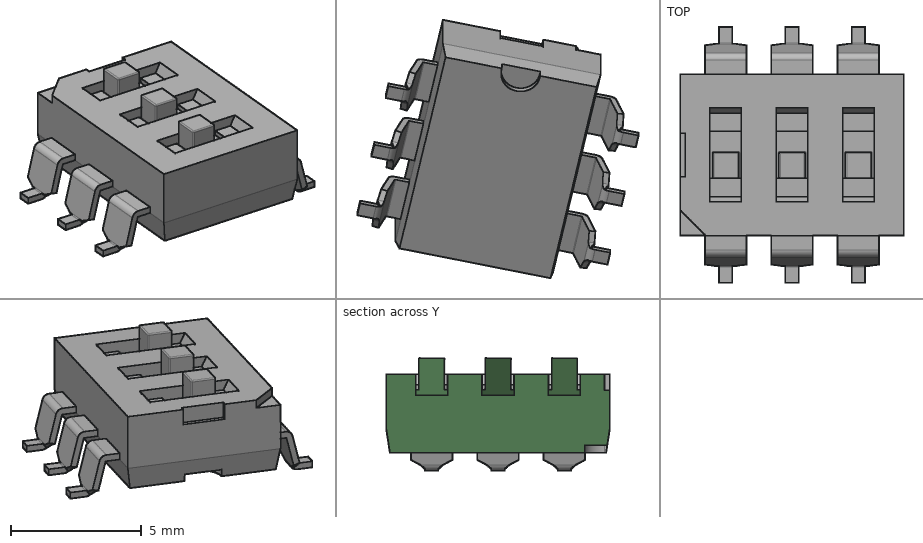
import cadquery as cq
import math


LENGTH_OVER_LEADS = 9.8
POSITIONS = 3
PITCH = 2.54

BODY_LENGTH = 8.56
BODY_WIDTH = 6.18
BODY_BOTTOM = 0.69
BODY_TOP = 3.7
BASE_INSET = 0.14

SLOT_WIDTH = 1.21
SLOT_LENGTH = 3.6
RAMP_RUN = 0.21
LEDGE_DEPTH = 0.4
PIT_LENGTH = 1.79
PIT_DEPTH = 0.6

CORNER_LEG = 0.98
CORNER_DEPTH = 0.32
SIDE_NOTCH_LENGTH = 1.68
SIDE_NOTCH_INSET = 0.2
SIDE_NOTCH_DEPTH = 0.62
BASE_RECESS_DIAMETER = 1.5
BASE_RECESS_DEPTH = 0.29
BASE_RECESS_CENTRE_INSET = 0.21

SLIDER_SIZE = 1.0
SLIDER_TOP = 4.32
SLIDER_FILLET = 0.05
SLIDER_ROOT_FILLET = 0.04
PLATE_THICKNESS = 0.2

LEAD_THICKNESS = 0.25
LEAD_WIDTH = 1.6
FOOT_WIDTH = 0.52
LEAD_TOP = 1.84
LEG_ANGLE = 14.0
UPPER_BEND_CENTRE = 3.64
UPPER_BEND_DIAMETER = 0.57
LOWER_BEND_DIAMETER = 0.6
TAPER_START = 0.48
TAPER_KNEE = 0.28
TAPER_END = 0.12
KNEE_WIDTH = 0.85

switch_xs = [(i - (POSITIONS - 1) / 2) * PITCH for i in range(POSITIONS)]
pit_floor = BODY_TOP - PIT_DEPTH
ledge_length = SLOT_LENGTH - 2 * RAMP_RUN


def box(x_size, y_size, bottom, top):
    """Upright box centred on the Z axis between two heights."""
    return cq.Workplane("XY", origin=(0, 0, bottom)).rect(x_size, y_size).extrude(top - bottom)


def make_plate():
    """Slider plate volume: forms the pit floor and reaches under both ledges."""
    return box(SLOT_WIDTH, ledge_length, pit_floor - PLATE_THICKNESS, pit_floor)


def make_slot():
    """Slot volume: ramped ends down to a ledge, then a shorter square pit."""
    half_top = SLOT_LENGTH / 2
    half_ledge = ledge_length / 2
    ledge = BODY_TOP - LEDGE_DEPTH
    trough = (
        cq.Workplane("YZ", origin=(-SLOT_WIDTH / 2, 0, 0))
        .polyline([(-half_top, BODY_TOP), (-half_ledge, ledge), (half_ledge, ledge), (half_top, BODY_TOP)])
        .close()
        .extrude(SLOT_WIDTH)
    )
    pit = box(SLOT_WIDTH, PIT_LENGTH, pit_floor, BODY_TOP)
    return trough.union(pit)


def make_housing():
    split = LEAD_TOP - LEAD_THICKNESS
    base_height = split - BODY_BOTTOM
    left = -BODY_LENGTH / 2
    front = -BODY_WIDTH / 2

    body = box(BODY_LENGTH, BODY_WIDTH, split, BODY_TOP)
    base = (
        cq.Workplane("XY", origin=(0, 0, split))
        .rect(BODY_LENGTH, BODY_WIDTH)
        .workplane(offset=-base_height)
        .rect(BODY_LENGTH - 2 * BASE_INSET, BODY_WIDTH - 2 * BASE_INSET)
        .loft(ruled=True)
    )
    body = body.union(base)

    slot = make_slot().union(make_plate())
    for x in switch_xs:
        body = body.cut(slot.translate((x, 0, 0)))

    corner_step = (
        cq.Workplane("XY", origin=(left, front, BODY_TOP - CORNER_DEPTH))
        .polyline([(0, 0), (CORNER_LEG, 0), (0, CORNER_LEG)])
        .close()
        .extrude(CORNER_DEPTH)
    )
    body = body.cut(corner_step)

    side_notch = box(2 * SIDE_NOTCH_INSET, SIDE_NOTCH_LENGTH, BODY_TOP - SIDE_NOTCH_DEPTH, BODY_TOP)
    body = body.cut(side_notch.translate((left, 0, 0)))

    recess_end = (
        cq.Workplane("XY", origin=(left + BASE_RECESS_CENTRE_INSET, 0, BODY_BOTTOM))
        .circle(BASE_RECESS_DIAMETER / 2)
        .extrude(BASE_RECESS_DEPTH)
    )
    recess_mouth = box(
        2 * BASE_RECESS_CENTRE_INSET, BASE_RECESS_DIAMETER, BODY_BOTTOM, BODY_BOTTOM + BASE_RECESS_DEPTH
    ).translate((left, 0, 0))
    return body.cut(recess_end).cut(recess_mouth)


def make_slider(x):
    """Square post against the -Y pit wall, rising from a plate under the ledges."""
    plate = make_plate()
    post = box(SLIDER_SIZE, SLIDER_SIZE, pit_floor, SLIDER_TOP)
    post = post.edges("|Z or >Z").fillet(SLIDER_FILLET)
    post = post.translate((0, (SLIDER_SIZE - PIT_LENGTH) / 2, 0))

    root_reach = SLIDER_SIZE / 2 + SLIDER_ROOT_FILLET
    root_edges = cq.selectors.BoxSelector(
        (-root_reach, -PIT_LENGTH / 2 - SLIDER_ROOT_FILLET, pit_floor - SLIDER_ROOT_FILLET),
        (root_reach, SLIDER_SIZE - PIT_LENGTH / 2 + SLIDER_ROOT_FILLET, pit_floor + SLIDER_ROOT_FILLET),
        boundingbox=True,
    )
    slider = plate.union(post).edges(root_edges).fillet(SLIDER_ROOT_FILLET)
    room = plate.union(box(SLOT_WIDTH, PIT_LENGTH, pit_floor, SLIDER_TOP))
    return slider.intersect(room).translate((x, 0, 0))


def make_lead():
    """Gull-wing lead on the +Y side, centred on x = 0."""
    lean = math.radians(LEG_ANGLE)
    upper_radius = UPPER_BEND_DIAMETER / 2
    lower_radius = LOWER_BEND_DIAMETER / 2
    wall = BODY_WIDTH / 2
    end = LENGTH_OVER_LEADS / 2
    bend_height = LEAD_TOP - upper_radius

    def leg_y(height, depth=0.0):
        """y on the leg at a height, a given depth below its outer face."""
        outer = UPPER_BEND_CENTRE + upper_radius / math.cos(lean) + (bend_height - height) * math.tan(lean)
        return outer - depth / math.cos(lean)

    underside = LEAD_TOP - LEAD_THICKNESS
    upper_outer = (leg_y(LEAD_TOP), LEAD_TOP)
    upper_inner = (leg_y(underside, LEAD_THICKNESS), underside)
    lower_inner = (leg_y(LEAD_THICKNESS), LEAD_THICKNESS)
    lower_outer = (leg_y(0, LEAD_THICKNESS), 0)
    strip = (
        cq.Workplane("YZ")
        .polyline([
            (wall, LEAD_TOP), upper_outer, lower_inner, (end, LEAD_THICKNESS),
            (end, 0), lower_outer, upper_inner, (wall, underside),
        ])
        .close()
        .extrude(LEAD_WIDTH / 2, both=True)
    )
    bends = [
        (upper_outer, upper_radius),
        (upper_inner, upper_radius - LEAD_THICKNESS),
        (lower_inner, lower_radius - LEAD_THICKNESS),
        (lower_outer, lower_radius),
    ]
    for (y, z), radius in bends:
        strip = strip.edges(cq.NearestToPointSelector((0, y, z))).fillet(radius)

    half_lead = LEAD_WIDTH / 2
    half_knee = KNEE_WIDTH / 2
    half_foot = FOOT_WIDTH / 2
    knee = (TAPER_KNEE - TAPER_START) / math.cos(lean)
    tip = (TAPER_END - TAPER_START) / math.cos(lean)
    reach = LENGTH_OVER_LEADS
    leg_plane = cq.Plane(
        origin=(0, leg_y(TAPER_START), TAPER_START),
        xDir=(1, 0, 0),
        normal=(0, -math.cos(lean), -math.sin(lean)),
    )
    one_side = [(half_lead, reach), (half_lead, 0), (half_knee, knee), (half_foot, tip), (half_foot, -reach)]
    other_side = [(-x, y) for x, y in reversed(one_side)]
    leg_outline = cq.Workplane(leg_plane).polyline(one_side + other_side).close().extrude(reach, both=True)

    leg_zone = (
        cq.Workplane("YZ")
        .polyline([(wall, 0), (wall, LEAD_TOP), (lower_inner[0], LEAD_TOP), lower_inner, lower_outer])
        .close()
        .extrude(half_lead, both=True)
    )
    foot_zone = box(FOOT_WIDTH, LENGTH_OVER_LEADS, 0, LEAD_TOP)
    return strip.intersect(leg_outline).intersect(leg_zone.union(foot_zone))


housing = make_housing()
sliders = [make_slider(x) for x in switch_xs]
lead = make_lead()
leads = []
for x in switch_xs:
    for turn in (0, 180):
        leads.append(lead.rotate((0, 0, 0), (0, 0, 1), turn).translate((x, 0, 0)))

result = cq.Compound.makeCompound([body.val() for body in [housing, *sliders, *leads]])